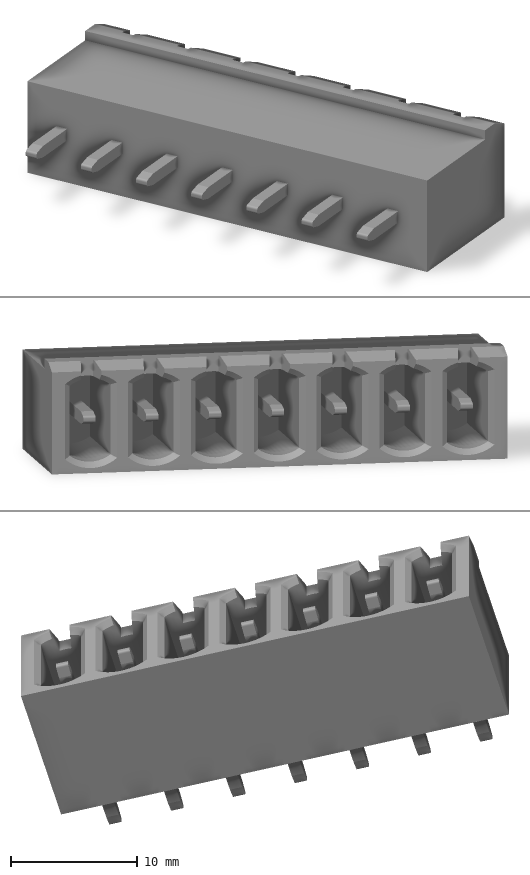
import cadquery as cq
import math

length = 36.85
depth = 12.0
body_height = 8.0
total_height = 8.8
lip_depth = 3.02
lip_slope_run = 1.47
lip_slope_drop = 0.6

contact_count = 7
pitch = 5.1
pin_z = 4.2

pin_width = 1.0
pin_projection = 4.8
pin_setback = 0.7
taper_length = 1.0
tip_height = 0.48
tip_fillet = 0.22

chamber_width = 3.3
chamber_height = 6.7
arch_radius = 2.85
chamber_depth = 8.85
mouth_chamfer = 0.45
chamfer_angle = 45

slot_depth = 1.77
slot_back_width = 1.65
slot_front_width = 1.0

back_y = depth / 2
front_y = -depth / 2
contact_xs = [(i - (contact_count - 1) / 2) * pitch for i in range(contact_count)]


def make_housing():
    """Constant section in the YZ plane, extruded along X."""
    profile = [
        (front_y, 0),
        (back_y, 0),
        (back_y, total_height - lip_slope_drop),
        (back_y - lip_slope_run, total_height),
        (back_y - lip_depth, total_height),
        (back_y - lip_depth, body_height),
        (front_y, body_height),
    ]
    return cq.Workplane("YZ").polyline(profile).close().extrude(length / 2, both=True)


def chamber_outline(offset):
    """Chamber section on the back face, moved outward by the offset."""
    half_width = chamber_width / 2 + offset
    half_height = chamber_height / 2 + offset
    radius = arch_radius + offset
    side_height = half_height - radius + math.sqrt(radius**2 - half_width**2)
    return (
        cq.Workplane("XZ", origin=(0, back_y, 0))
        .moveTo(-half_width, -side_height)
        .threePointArc((0, -half_height), (half_width, -side_height))
        .lineTo(half_width, side_height)
        .threePointArc((0, half_height), (-half_width, side_height))
        .close()
    )


def make_chamber(x):
    """Chamber with a chamfered mouth and the tapering slot above it."""
    chamber = chamber_outline(0).extrude(chamber_depth)
    mouth = chamber_outline(mouth_chamfer).extrude(mouth_chamfer, taper=chamfer_angle)
    slot_outline = [
        (-slot_back_width / 2, back_y),
        (slot_back_width / 2, back_y),
        (slot_front_width / 2, back_y - slot_depth),
        (-slot_front_width / 2, back_y - slot_depth),
    ]
    slot = cq.Workplane("XY").polyline(slot_outline).close().extrude(total_height - pin_z)
    return chamber.union(mouth).union(slot).translate((x, 0, pin_z))


def make_pin(x):
    """Bar of constant width that narrows in height at both ends."""
    tip_front = front_y - pin_projection
    tip_back = back_y - pin_setback
    upper_half = [
        (tip_front, tip_height / 2),
        (tip_front + taper_length, pin_width / 2),
        (tip_back - taper_length, pin_width / 2),
        (tip_back, tip_height / 2),
    ]
    lower_half = [(y, -z) for y, z in reversed(upper_half)]
    pin = cq.Workplane("YZ").polyline(upper_half + lower_half).close().extrude(pin_width / 2, both=True)
    pin = pin.faces("<Y or >Y").edges("|X").fillet(tip_fillet)
    return pin.translate((x, 0, pin_z))


result = make_housing()
for contact_x in contact_xs:
    result = result.cut(make_chamber(contact_x))
for contact_x in contact_xs:
    result = result.union(make_pin(contact_x))